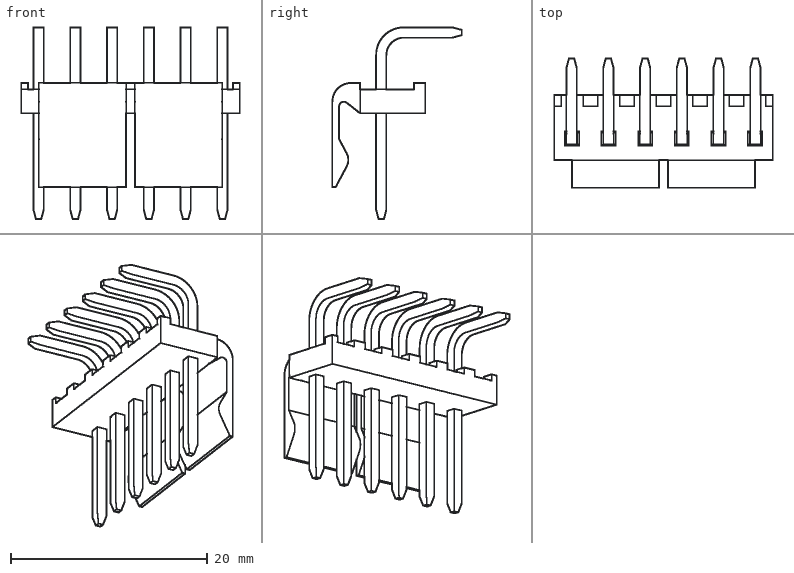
import cadquery as cq
import math

body_length = 22.3
body_depth = 6.67
body_thickness = 2.43

tab_height = 0.67
tab_depth = 1.18
tab_gap = 2.25

pin_count = 6
pin_pitch = 3.75
pin_width = 1.07
pin_center_y = 2.16
pin_bend_radius = 2.83
pin_top = 6.34
pin_bottom = -13.23
pin_rear = 10.37
tip_width = 0.55
tip_length = 0.95

socket_pitch = 3.73
socket_center_y = 2.2
socket_width = 1.47
socket_depth = (socket_width - pin_width) / 2

clip_width = 8.9
clip_gap = 0.9
clip_reach = 2.83
clip_thickness = 0.71
clip_bottom = -9.97
clip_end_thickness = 0.35
clip_shoulder_radius = 1.92
clip_root_angle = 38.0
clip_throat_radius = 0.47
latch_top = -5.06
latch_angle = 28.0
latch_radius = 1.43


def row_positions(pitch):
    """X positions of one feature per pin, centred on the plate."""
    return [(i - (pin_count - 1) / 2) * pitch for i in range(pin_count)]


def make_body():
    plate = cq.Workplane("XY").box(
        body_length, body_depth, body_thickness, centered=(True, False, False)
    ).translate((0, 0, -body_thickness))
    rail = cq.Workplane("XY").box(
        body_length, tab_depth, tab_height, centered=(True, False, False)
    ).translate((0, body_depth - tab_depth, 0))
    for x in row_positions(socket_pitch):
        gap = cq.Workplane("XY").box(tab_gap, tab_depth, tab_height, centered=(True, False, False))
        rail = rail.cut(gap.translate((x, body_depth - tab_depth, 0)))
    return plate.union(rail)


def make_socket(x):
    """Square funnel narrowing from the top face down to the pin width."""
    return (
        cq.Workplane("XY", origin=(x, socket_center_y, 0))
        .rect(socket_width, socket_width)
        .workplane(offset=-socket_depth)
        .rect(pin_width, pin_width)
        .loft(combine=True)
    )


def make_tip(plane):
    """Truncated pyramid on the end of a pin, pointing along the plane's normal."""
    return (
        cq.Workplane(plane)
        .rect(pin_width, pin_width)
        .workplane(offset=tip_length)
        .rect(tip_width, tip_width)
        .loft(combine=True)
    )


def make_pin():
    upper_center_z = pin_top - pin_width / 2
    foot = (0, pin_center_y, pin_bottom + tip_length)
    bend_radius = pin_bend_radius - pin_width / 2
    bend_center_y = pin_center_y + bend_radius
    bend_center_z = upper_center_z - bend_radius
    rear_end_y = pin_rear - tip_length
    diagonal = bend_radius * math.sqrt(0.5)
    path = (
        cq.Workplane("YZ")
        .moveTo(pin_center_y, pin_bottom + tip_length)
        .lineTo(pin_center_y, bend_center_z)
        .threePointArc(
            (bend_center_y - diagonal, bend_center_z + diagonal),
            (bend_center_y, upper_center_z),
        )
        .lineTo(rear_end_y, upper_center_z)
    )
    shank = cq.Workplane("XY", origin=foot).rect(pin_width, pin_width).sweep(path)
    lower_tip = make_tip(cq.Plane(origin=foot, xDir=(1, 0, 0), normal=(0, 0, -1)))
    rear_tip = make_tip(
        cq.Plane(origin=(0, rear_end_y, upper_center_z), xDir=(1, 0, 0), normal=(0, 1, 0))
    )
    return shank.union(lower_tip).union(rear_tip)


def make_clip(x_start):
    front = -clip_reach
    inner = front + clip_thickness
    root_slope = math.tan(math.radians(clip_root_angle))
    latch_slope = math.tan(math.radians(latch_angle))

    shoulder_y = front + clip_shoulder_radius
    shoulder_z = tab_height - clip_shoulder_radius
    shoulder_diagonal = clip_shoulder_radius * math.sqrt(0.5)

    end_y = front + clip_end_thickness
    latch_height = latch_top - clip_bottom
    upper_flank = (latch_height - (inner - end_y) / latch_slope) / 2
    apex_z = latch_top - upper_flank
    apex_y = inner + upper_flank * latch_slope

    throat_z = -body_thickness - inner * root_slope

    clip = (
        cq.Workplane("YZ", origin=(x_start, 0, 0))
        .moveTo(0, tab_height)
        .lineTo(shoulder_y, tab_height)
        .threePointArc(
            (shoulder_y - shoulder_diagonal, shoulder_z + shoulder_diagonal),
            (front, shoulder_z),
        )
        .lineTo(front, clip_bottom)
        .lineTo(end_y, clip_bottom)
        .lineTo(apex_y, apex_z)
        .lineTo(inner, latch_top)
        .lineTo(inner, throat_z)
        .lineTo(0, -body_thickness)
        .close()
        .extrude(clip_width)
    )
    middle_x = x_start + clip_width / 2
    clip = clip.edges(cq.NearestToPointSelector((middle_x, apex_y, apex_z))).fillet(latch_radius)
    return clip.edges(cq.NearestToPointSelector((middle_x, inner, throat_z))).fillet(clip_throat_radius)


result = make_body()
for x in row_positions(socket_pitch):
    result = result.cut(make_socket(x))
for x_start in (-clip_gap / 2 - clip_width, clip_gap / 2):
    result = result.union(make_clip(x_start))
pin = make_pin()
for x in row_positions(pin_pitch):
    result = result.union(pin.translate((x, 0, 0)))